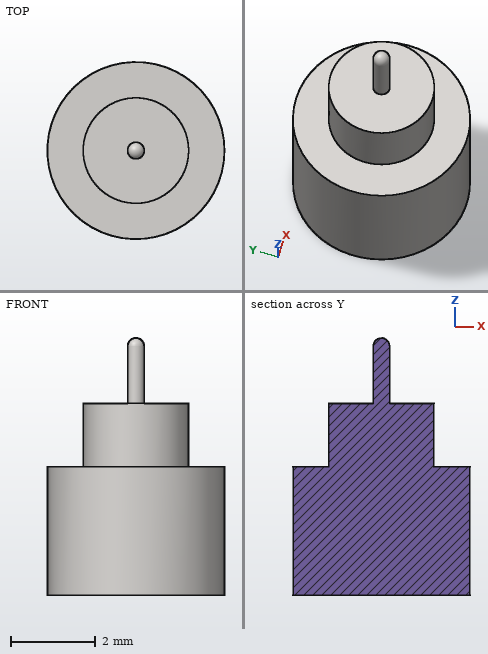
import cadquery as cq

total_height = 6.1
body_diameter = 4.2
body_height = 3.05
collar_diameter = 2.5
collar_height = 1.5
pin_diameter = 0.395

pin_radius = pin_diameter / 2
pin_length = total_height - body_height - collar_height
pin_shank_length = pin_length - pin_radius

body = cq.Workplane("XY").circle(body_diameter / 2).extrude(body_height)
collar = body.faces(">Z").workplane().circle(collar_diameter / 2).extrude(collar_height)

pin = (
    cq.Workplane("XZ", origin=(0, 0, body_height + collar_height))
    .lineTo(pin_radius, 0)
    .lineTo(pin_radius, pin_shank_length)
    .radiusArc((0, pin_length), -pin_radius)
    .close()
    .revolve(360, (0, 0, 0), (0, 1, 0))
)

result = collar.union(pin)